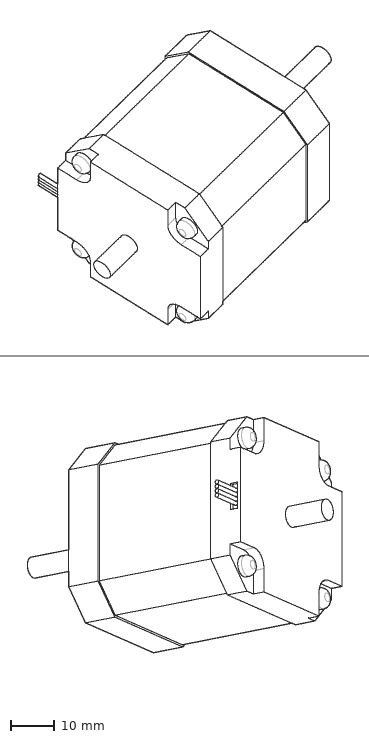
import cadquery as cq


cap_width = 42.3
cap_bevel = 7.0
middle_width = 41.3
middle_bevel = 6.65
rear_cap_length = 8.4
body_length = 48.0
front_cap_length = 8.2

total_length = 82.0
shaft_diameter = 5.0
rear_shaft_length = 10.0
boss_diameter = 22.0
boss_height = 2.0

screw_offset = 15.5
pocket_depth = 2.95
pocket_radius = 4.0

head_diameter = 5.0
head_height = 2.55
head_rounding = 1.5

outlet_width = 1.9
outlet_height = 6.3
outlet_depth = 1.0
outlet_y = 1.9
wire_count = 4
wire_diameter = 1.0
wire_pitch = 1.1
wire_y = 2.0
wire_reach = 7.0


def workplane_at(y):
    """Workplane across the shaft at the given Y, facing +Y, with its vertical axis along Z."""
    return cq.Workplane(cq.Plane(origin=(0, y, 0), xDir=(-1, 0, 0), normal=(0, 1, 0)))


def bevelled_block(width, bevel, y_start, length):
    block = workplane_at(y_start).rect(width, width).extrude(length)
    return block.edges("|Y").chamfer(bevel)


def cylinder(diameter, y_start, length):
    return workplane_at(y_start).circle(diameter / 2).extrude(length)


def make_housing():
    front_cap_start = body_length - front_cap_length
    rear_cap = bevelled_block(cap_width, cap_bevel, 0, rear_cap_length)
    middle_length = front_cap_start - rear_cap_length
    middle = bevelled_block(middle_width, middle_bevel, rear_cap_length, middle_length)
    front_cap = bevelled_block(cap_width, cap_bevel, front_cap_start, front_cap_length)
    return rear_cap.union(middle).union(front_cap)


def make_corner_pocket(x_side, z_side):
    """Square cutter open to both outer sides, with its inner corner rounded about the screw."""
    inner_edge = screw_offset - pocket_radius
    size = cap_width / 2 - inner_edge
    centre = inner_edge + size / 2
    cutter = cq.Workplane("XY").box(size, pocket_depth, size)
    cutter = cutter.translate((x_side * centre, pocket_depth / 2, z_side * centre))
    inner_corner = cq.selectors.NearestToPointSelector(
        (x_side * inner_edge, pocket_depth / 2, z_side * inner_edge)
    )
    return cutter.edges(inner_corner).fillet(pocket_radius)


def make_screw_head():
    """Cylindrical head rising from Y = pocket_depth toward -Y, its rim rounded to a small flat top."""
    head = cylinder(head_diameter, pocket_depth - head_height, head_height)
    return head.faces("<Y").edges().fillet(head_rounding)


def make_outlet():
    outlet = cq.Workplane("XY").box(outlet_depth, outlet_width, outlet_height)
    return outlet.translate(((outlet_depth - cap_width) / 2, outlet_y, 0))


def make_wires():
    """Row of wires running from the outlet floor out past the -X side."""
    places = [(wire_y, (i - (wire_count - 1) / 2) * wire_pitch) for i in range(wire_count)]
    tip_x = -cap_width / 2 - wire_reach
    return (
        cq.Workplane("YZ", origin=(tip_x, 0, 0))
        .pushPoints(places)
        .circle(wire_diameter / 2)
        .extrude(wire_reach + outlet_depth)
    )


result = make_housing()
result = result.union(cylinder(boss_diameter, body_length, boss_height))
result = result.union(cylinder(shaft_diameter, -rear_shaft_length, total_length))

screw_head = make_screw_head()
for x_side in (-1, 1):
    for z_side in (-1, 1):
        result = result.cut(make_corner_pocket(x_side, z_side))
        result = result.union(screw_head.translate((x_side * screw_offset, 0, z_side * screw_offset)))

result = result.cut(make_outlet()).union(make_wires())